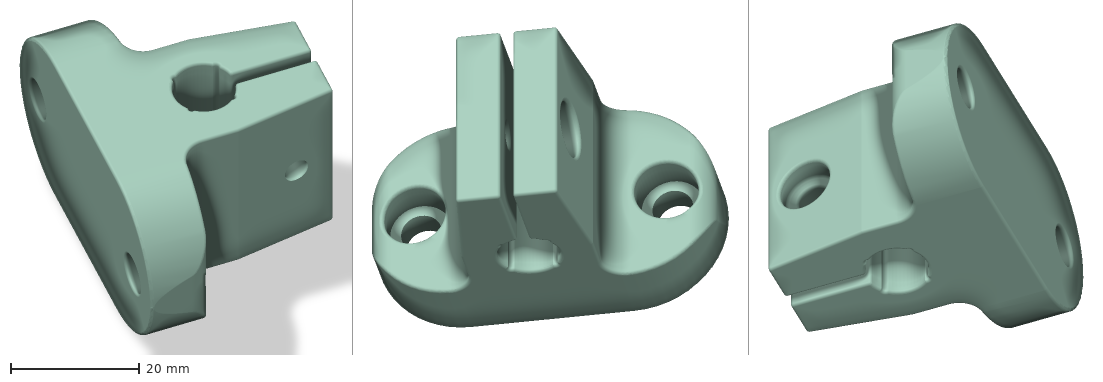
import cadquery as cq
import math

LENGTH = 56.0
DEPTH = 38.5
HEIGHT = 30.0
HALF_LENGTH = LENGTH / 2
HALF_HEIGHT = HEIGHT / 2

EDGE_ROUND = 0.5
RIM_ROUND = 0.49

DRAFT = math.radians(5)
FOOT = 0.49
SHOULDER_Y = 11.85
CORNER_RADIUS = 4.0

COLUMN_HALF_WIDTH = 10.5
TIP_HALF_WIDTH = 8.0
TAPER_Y = 21.6

BORE_Y = 20.0
BORE_RADIUS = 5.0
GROOVE_SQUARE = 7.85
GROOVE_RADIUS = 0.5
SLOT_WIDTH = 2.0

SCREW_Y = 31.95
HEAD_RADIUS = 4.5
HEAD_SEAT_X = -5.2
CLEARANCE_RADIUS = 2.6
TAPPED_RADIUS = 2.05

MOUNT_X = 20.0
MOUNT_RADIUS = 3.25
MOUNT_HEAD_RADIUS = 5.0
MOUNT_SEAT_Y = 5.05


def region(x_range, y_range, z_half=HEIGHT):
    """Selector for everything centred inside a box that is symmetric in Z."""
    low = (x_range[0], y_range[0], -z_half)
    high = (x_range[1], y_range[1], z_half)
    return cq.selectors.BoxSelector(low, high)


def flange_corner():
    """Sharp corner between the drafted end of the flange and its sloped back."""
    slope = math.tan(DRAFT)
    end_x_at_shoulder = HALF_LENGTH - slope * (SHOULDER_Y - FOOT)
    x = (end_x_at_shoulder - slope**2 * COLUMN_HALF_WIDTH) / (1 - slope**2)
    y = SHOULDER_Y - slope * (x - COLUMN_HALF_WIDTH)
    return x, y


def side_profile():
    """Flange and column outline in the XY plane, through the full height."""
    right = [
        (HALF_LENGTH, 0),
        (HALF_LENGTH, FOOT),
        flange_corner(),
        (COLUMN_HALF_WIDTH, SHOULDER_Y),
        (COLUMN_HALF_WIDTH, TAPER_Y),
        (TIP_HALF_WIDTH, DEPTH),
    ]
    left = [(-x, y) for x, y in reversed(right)]
    block = cq.Workplane("XY").polyline(right + left).close().extrude(HALF_HEIGHT, both=True)
    flange_corners = region((-LENGTH, LENGTH), (2 * FOOT, TAPER_Y - EDGE_ROUND))
    return block.edges("|Z").edges(flange_corners).fillet(CORNER_RADIUS)


def flange_envelope():
    """Stadium along Y with a rounded mounting edge."""
    stadium = cq.Workplane("XZ").slot2D(LENGTH, HEIGHT).extrude(-DEPTH)
    return stadium.faces("<Y").edges().fillet(EDGE_ROUND)


def slot_cutter():
    """Clamping slot from the bore centre to the column tip."""
    slot_length = DEPTH - BORE_Y
    slot = cq.Workplane("XY").box(SLOT_WIDTH, slot_length, HEIGHT)
    return slot.translate((0, BORE_Y + slot_length / 2, 0))


def bore_cutter():
    """Grooved rod bore along Z, flared at both ends to leave rounded rims."""
    bore = cq.Workplane("XY").circle(BORE_RADIUS).extrude(HALF_HEIGHT, both=True)
    square = cq.Workplane("XY").rect(GROOVE_SQUARE, GROOVE_SQUARE).extrude(HALF_HEIGHT, both=True)
    bore = bore.union(square.edges("|Z").fillet(GROOVE_RADIUS))

    plate_side = 4 * BORE_RADIUS
    plate = cq.Workplane("XY").rect(plate_side, plate_side).extrude(HALF_HEIGHT, both=True)
    bore_reach = 1.5 * BORE_RADIUS
    bore_rims = region((-bore_reach, bore_reach), (-bore_reach, bore_reach))
    drilled = plate.cut(bore).faces("<Z or >Z").edges(bore_rims).fillet(EDGE_ROUND)
    return plate.cut(drilled).translate((0, BORE_Y, 0))


def cylinder_x(radius, start, end):
    """Cylinder on the clamp screw axis."""
    return cq.Workplane("YZ", origin=(start, SCREW_Y, 0)).circle(radius).extrude(end - start)


def cylinder_y(radius, x, start, end):
    """Cylinder on a mounting hole axis."""
    return cq.Workplane("XZ", origin=(x, start, 0)).circle(radius).extrude(start - end)


def add_mounting_hole(part, x):
    """Counterbored hole through the flange, rounded at both mouths."""
    part = part.cut(cylinder_y(MOUNT_RADIUS, x, 0, DEPTH))
    part = part.cut(cylinder_y(MOUNT_HEAD_RADIUS, x, MOUNT_SEAT_Y, DEPTH))
    reach = MOUNT_HEAD_RADIUS + 2 * EDGE_ROUND
    x_range = (x - reach, x + reach)
    face_mouth = region(x_range, (-EDGE_ROUND / 2, EDGE_ROUND / 2), reach)
    part = part.edges(face_mouth).fillet(EDGE_ROUND)
    back_mouth = region(x_range, (MOUNT_SEAT_Y + reach / 2, TAPER_Y), reach)
    return part.edges(back_mouth).fillet(EDGE_ROUND)


def add_clamp_screw(part):
    """Head counterbore and clearance hole up to the slot, tapped hole beyond it."""
    part = part.cut(cylinder_x(HEAD_RADIUS, -HALF_LENGTH, HEAD_SEAT_X))
    part = part.cut(cylinder_x(CLEARANCE_RADIUS, HEAD_SEAT_X, 0))
    part = part.cut(cylinder_x(TAPPED_RADIUS, 0, HALF_LENGTH))

    reach = HEAD_RADIUS + EDGE_ROUND
    y_range = (SCREW_Y - reach, SCREW_Y + reach)
    head_mouth = region((-COLUMN_HALF_WIDTH, -TIP_HALF_WIDTH), y_range, reach)
    head_seat = region((HEAD_SEAT_X - EDGE_ROUND, HEAD_SEAT_X + EDGE_ROUND), y_range, reach)
    slot_mouths = region((-SLOT_WIDTH, SLOT_WIDTH), y_range, reach)
    for edges in (head_mouth, head_seat, slot_mouths):
        part = part.edges(edges).fillet(EDGE_ROUND)
    return part


body = side_profile().intersect(flange_envelope()).cut(slot_cutter())
body = body.edges("|Z").edges(">Y").fillet(EDGE_ROUND)
outline_rims = region((-HALF_LENGTH, HALF_LENGTH), (SHOULDER_Y + CORNER_RADIUS, LENGTH))
body = body.faces("<Z or >Z").edges(outline_rims).fillet(RIM_ROUND)

body = body.cut(bore_cutter())
slot_entry = region((-SLOT_WIDTH, SLOT_WIDTH), (BORE_Y, BORE_Y + 2 * BORE_RADIUS))
body = body.edges("|Z").edges(slot_entry).fillet(EDGE_ROUND)

body = add_clamp_screw(body)
for mount_x in (-MOUNT_X, MOUNT_X):
    body = add_mounting_hole(body, mount_x)

result = body